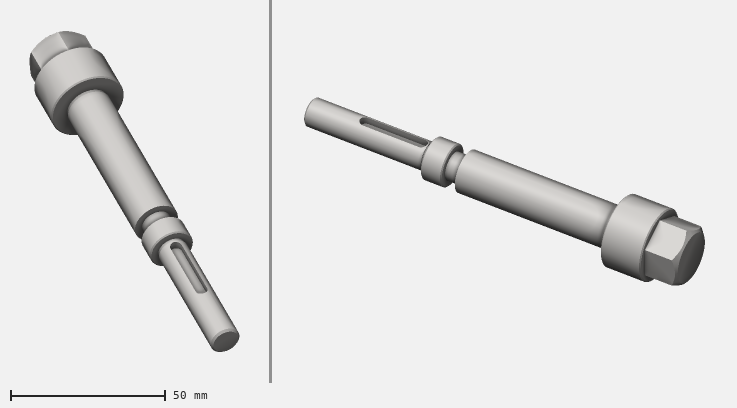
import cadquery as cq
import math

length = 142.0
head_start = -length / 2
head_length = 11.8
flange_length = 14.9
shaft_length = 57.2
groove_width = 5.1
ring_length = 7.8
relief_length = 1.3
flange_start = head_start + head_length
shaft_start = flange_start + flange_length
groove_start = shaft_start + shaft_length
ring_start = groove_start + groove_width
spindle_start = ring_start + ring_length
spindle_length = length / 2 - spindle_start

flange_diameter = 25.4
shaft_diameter = 15.0
spindle_diameter = 10.1
shaft_relief_diameter = 14.5
spindle_relief_diameter = 9.5
edge_chamfer = 0.4
spindle_chamfer = 0.7

across_flats = 19.0
across_corners = across_flats / math.cos(math.radians(30))
head_face_diameter = 17.6
head_bevel_length = 1.8

key_width = 4.0
key_length = 25.0
key_depth = 3.0
key_gap = 1.7


def cylinder(start, cylinder_length, diameter):
    """Cylinder on the X axis."""
    return cq.Workplane("YZ", origin=(start, 0, 0)).circle(diameter / 2).extrude(cylinder_length)


def hex_head():
    """Hexagon with corners at +Z and -Z and a conically bevelled free end."""
    hexagon = (
        cq.Workplane("YZ", origin=(head_start, 0, 0))
        .transformed(rotate=(0, 0, 90))
        .polygon(6, across_corners)
        .extrude(head_length)
    )
    bevel_envelope = (
        cq.Workplane("XY")
        .moveTo(head_start, 0)
        .lineTo(head_start, head_face_diameter / 2)
        .lineTo(head_start + head_bevel_length, across_corners / 2)
        .lineTo(flange_start, across_corners / 2)
        .lineTo(flange_start, 0)
        .close()
        .revolve(360, (0, 0, 0), (1, 0, 0))
    )
    return hexagon.intersect(bevel_envelope)


def turned_body():
    """Flange, main shaft, groove, ring and spindle, with relief necks behind the shoulders."""
    flange = cylinder(flange_start, flange_length, flange_diameter).edges().chamfer(edge_chamfer)
    shaft_relief = cylinder(shaft_start, relief_length, shaft_relief_diameter)
    shaft = cylinder(shaft_start + relief_length, shaft_length - relief_length, shaft_diameter)
    groove_core = cylinder(groove_start, groove_width, spindle_diameter)
    ring = cylinder(ring_start, ring_length, shaft_diameter).edges().chamfer(edge_chamfer)
    spindle_relief = cylinder(spindle_start, relief_length, spindle_relief_diameter)
    spindle = cylinder(spindle_start + relief_length, spindle_length - relief_length, spindle_diameter)
    spindle = spindle.faces(">X").edges().chamfer(spindle_chamfer)
    body = flange
    for section in (shaft_relief, shaft, groove_core, ring, spindle_relief, spindle):
        body = body.union(section)
    return body


def keyway():
    """Round-ended slot sunk into the top of the spindle."""
    key_centre = spindle_start + key_gap + key_length / 2
    return (
        cq.Workplane("XY", origin=(key_centre, 0, spindle_diameter / 2 - key_depth))
        .slot2D(key_length, key_width)
        .extrude(spindle_diameter)
    )


result = turned_body().union(hex_head()).cut(keyway())